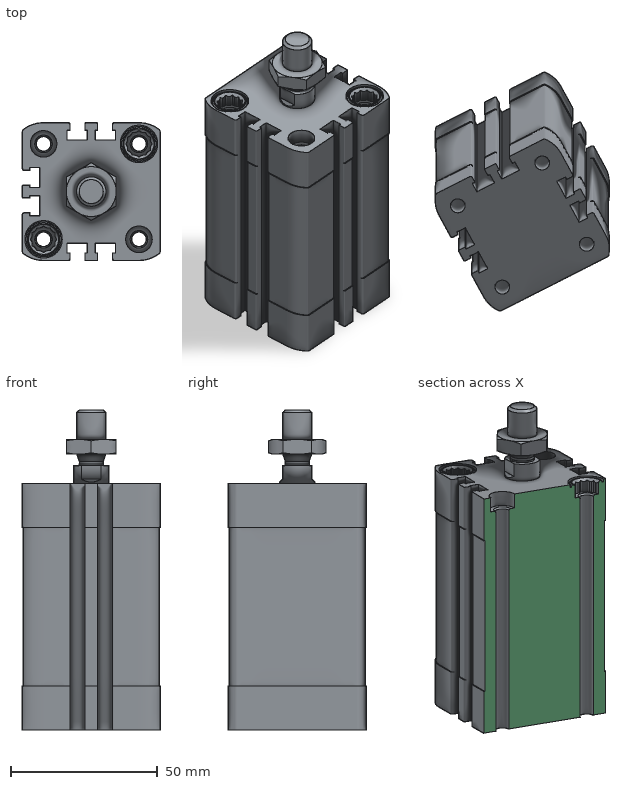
import cadquery as cq
import math


TOTAL_HEIGHT = 109.0
HOUSING_HEIGHT = 84.0
HOUSING_WIDTH = 47.0
HALF_WIDTH = HOUSING_WIDTH / 2
CAP_HEIGHT = 15.0
BARREL_INSET = 0.3

CORNER_ARC_START = 16.2
CORNER_DROP = 2.6
CORNER_RUN = HALF_WIDTH - CORNER_ARC_START
CORNER_RADIUS = (CORNER_RUN**2 + CORNER_DROP**2) / (2 * CORNER_DROP)
CORNER_EDGE_FILLET = 1.1

SLOT_DEPTH = 5.9
LIP_DEPTH = 2.6
MOUTH_INNER = 2.2
MOUTH_OUTER = 7.2
UNDERCUT_INNER = 1.4
UNDERCUT_OUTER = 8.2
MOUTH_FILLET = 0.7
RIB_FILLET = 0.3
ARC_MIDDLE_SHIFT = 1 - math.sqrt(0.5)
SLOT_SIDE_ANGLES = (0, 90, 180)

HOLE_OFFSET = 16.2
HOLE_DIAMETER = 4.9
HOLE_MOUTH_DIAMETER = 6.0
COUNTERBORE_DIAMETER = 9.0
COUNTERBORE_DEPTH = 5.0

SOCKET_GROOVE_DIAMETER = 12.8
SOCKET_GROOVE_DEPTH = 1.0
SOCKET_HEAD_DIAMETER = 11.9
SOCKET_HEAD_CHAMFER = 0.4
SOCKET_RIM_DEPTH = 0.2
SOCKET_CONE_DIAMETER = 10.2
SPLINE_ROOT_DIAMETER = 8.9
SPLINE_TIP_DIAMETER = 8.2
SPLINE_COUNT = 12
SPLINE_HALF_ANGLE = 10.0

ROD_DIAMETER = 12.0
ROD_SHOULDER_HEIGHT = 6.0
FLAT_DISTANCE = 10.0
FLAT_RUNOUT_BASE = 0.4
THREAD_DIAMETER = 10.0
THREAD_CHAMFER = 0.93
NECK_DIAMETER = 8.2
NECK_HEIGHT = 1.4
COLLAR_DIAMETER = 8.5
COLLAR_HEIGHT = 0.5
RUNOUT_HEIGHT = 2.7

NUT_ACROSS_FLATS = 17.0
NUT_HEIGHT = 5.0
NUT_TOP_GAP = 10.0
NUT_CHAMFER_ANGLE = 20.0


def outline(half_width, corner_radius):
    """Housing outline: four flat sides joined by large corner arcs."""
    arc_centre = HALF_WIDTH - CORNER_RADIUS
    arc_middle = math.asin((half_width - CORNER_ARC_START) / corner_radius) / 2
    side_end = arc_centre + math.sqrt(corner_radius**2 - (half_width - CORNER_ARC_START) ** 2)
    mid_x = CORNER_ARC_START + corner_radius * math.sin(arc_middle)
    mid_y = arc_centre + corner_radius * math.cos(arc_middle)
    start = CORNER_ARC_START
    return (
        cq.Workplane("XY")
        .moveTo(-start, half_width)
        .lineTo(start, half_width)
        .threePointArc((mid_x, mid_y), (half_width, side_end))
        .lineTo(half_width, -side_end)
        .threePointArc((mid_x, -mid_y), (start, -half_width))
        .lineTo(-start, -half_width)
        .threePointArc((-mid_x, -mid_y), (-half_width, -side_end))
        .lineTo(-half_width, side_end)
        .threePointArc((-mid_x, mid_y), (-start, half_width))
        .close()
    )


def slot(half_width, height):
    """One undercut slot in the +Y face, with rounded mouth edges."""
    floor = HALF_WIDTH - SLOT_DEPTH
    lip = HALF_WIDTH - LIP_DEPTH
    mouth_shift = MOUTH_FILLET * ARC_MIDDLE_SHIFT
    rib_shift = RIB_FILLET * ARC_MIDDLE_SHIFT
    return (
        cq.Workplane("XY")
        .moveTo(MOUTH_INNER - RIB_FILLET, half_width)
        .threePointArc(
            (MOUTH_INNER - rib_shift, half_width - rib_shift),
            (MOUTH_INNER, half_width - RIB_FILLET),
        )
        .lineTo(MOUTH_INNER, lip)
        .lineTo(UNDERCUT_INNER, lip)
        .lineTo(UNDERCUT_INNER, floor)
        .lineTo(UNDERCUT_OUTER, floor)
        .lineTo(UNDERCUT_OUTER, lip)
        .lineTo(MOUTH_OUTER, lip)
        .lineTo(MOUTH_OUTER, half_width - MOUTH_FILLET)
        .threePointArc(
            (MOUTH_OUTER + mouth_shift, half_width - mouth_shift),
            (MOUTH_OUTER + MOUTH_FILLET, half_width),
        )
        .close()
        .extrude(height)
    )


def housing_section(inset, base, height):
    """Length of housing profile whose outer faces lie `inset` inside the end caps."""
    half_width = HALF_WIDTH - inset
    section = outline(half_width, CORNER_RADIUS - inset).extrude(height)
    section = section.edges("|Z and (<X or >X)").fillet(CORNER_EDGE_FILLET)
    right_slot = slot(half_width, height)
    slot_pair = right_slot.union(right_slot.mirror("YZ"))
    for angle in SLOT_SIDE_ANGLES:
        section = section.cut(slot_pair.rotate((0, 0, 0), (0, 0, 1), angle))
    return section.translate((0, 0, base))


def screw_hole():
    """Through hole with a chamfered mouth at the counterbore floor."""
    floor = HOUSING_HEIGHT - COUNTERBORE_DEPTH
    radius = HOLE_DIAMETER / 2
    mouth_radius = HOLE_MOUTH_DIAMETER / 2
    return (
        cq.Workplane("XZ")
        .moveTo(0, 0)
        .lineTo(radius, 0)
        .lineTo(radius, floor - (mouth_radius - radius))
        .lineTo(mouth_radius, floor)
        .lineTo(0, floor)
        .close()
        .revolve(360, (0, 0, 0), (0, 1, 0))
    )


def counterbore():
    """Plain counterbore of the two unsplined corners."""
    floor = HOUSING_HEIGHT - COUNTERBORE_DEPTH
    profile = cq.Workplane("XY").workplane(offset=floor).circle(COUNTERBORE_DIAMETER / 2)
    return profile.extrude(COUNTERBORE_DEPTH)


def splined_socket():
    """Ring groove around a chamfered head that has a lead-in cone and a toothed socket."""
    floor = HOUSING_HEIGHT - COUNTERBORE_DEPTH
    groove_floor = HOUSING_HEIGHT - SOCKET_GROOVE_DEPTH
    rim = HOUSING_HEIGHT - SOCKET_RIM_DEPTH
    groove_radius = SOCKET_GROOVE_DIAMETER / 2
    head_radius = SOCKET_HEAD_DIAMETER / 2
    cone_radius = SOCKET_CONE_DIAMETER / 2
    tip_radius = SPLINE_TIP_DIAMETER / 2
    root_radius = SPLINE_ROOT_DIAMETER / 2
    cone_base = rim - (cone_radius - tip_radius)
    socket = (
        cq.Workplane("XZ")
        .moveTo(0, floor)
        .lineTo(tip_radius, floor)
        .lineTo(tip_radius, cone_base)
        .lineTo(cone_radius, rim)
        .lineTo(head_radius - SOCKET_HEAD_CHAMFER, rim)
        .lineTo(head_radius, rim - SOCKET_HEAD_CHAMFER)
        .lineTo(head_radius, groove_floor)
        .lineTo(groove_radius, groove_floor)
        .lineTo(groove_radius, HOUSING_HEIGHT)
        .lineTo(0, HOUSING_HEIGHT)
        .close()
        .revolve(360, (0, 0, 0), (0, 1, 0))
    )
    half_angle = math.radians(SPLINE_HALF_ANGLE)
    base_x = tip_radius * math.cos(half_angle)
    base_y = tip_radius * math.sin(half_angle)
    groove = (
        cq.Workplane("XY")
        .workplane(offset=floor)
        .polyline([(0, 0), (base_x, -base_y), (root_radius, 0), (base_x, base_y)])
        .close()
        .extrude(rim - floor)
    )
    for index in range(SPLINE_COUNT):
        socket = socket.union(groove.rotate((0, 0, 0), (0, 0, 1), index * 360 / SPLINE_COUNT))
    return socket


def make_housing():
    barrel_height = HOUSING_HEIGHT - 2 * CAP_HEIGHT
    body = housing_section(0, 0, CAP_HEIGHT)
    body = body.union(housing_section(BARREL_INSET, CAP_HEIGHT, barrel_height))
    body = body.union(housing_section(0, HOUSING_HEIGHT - CAP_HEIGHT, CAP_HEIGHT))
    for x_side in (-1, 1):
        for y_side in (-1, 1):
            place = (x_side * HOLE_OFFSET, y_side * HOLE_OFFSET, 0)
            top_recess = splined_socket() if x_side == y_side else counterbore()
            body = body.cut(screw_hole().translate(place))
            body = body.cut(top_recess.translate(place))
    return body


def make_rod():
    """Piston rod standing on the housing: shoulder, collar, neck and threaded end."""
    rod_radius = ROD_DIAMETER / 2
    thread_radius = THREAD_DIAMETER / 2
    neck_radius = NECK_DIAMETER / 2
    collar_radius = COLLAR_DIAMETER / 2
    shoulder_top = HOUSING_HEIGHT + ROD_SHOULDER_HEIGHT
    neck_top = shoulder_top + NECK_HEIGHT
    body = (
        cq.Workplane("XZ")
        .moveTo(0, HOUSING_HEIGHT)
        .lineTo(rod_radius, HOUSING_HEIGHT)
        .lineTo(rod_radius, shoulder_top)
        .lineTo(collar_radius, shoulder_top)
        .lineTo(collar_radius, shoulder_top + COLLAR_HEIGHT)
        .lineTo(neck_radius, shoulder_top + COLLAR_HEIGHT)
        .lineTo(neck_radius, neck_top)
        .lineTo(thread_radius, neck_top + RUNOUT_HEIGHT)
        .lineTo(thread_radius, TOTAL_HEIGHT - THREAD_CHAMFER)
        .lineTo(thread_radius - THREAD_CHAMFER, TOTAL_HEIGHT)
        .lineTo(0, TOTAL_HEIGHT)
        .close()
        .revolve(360, (0, 0, 0), (0, 1, 0))
    )
    flat_cut = wrench_flat_cut()
    return body.cut(flat_cut).cut(flat_cut.mirror("XZ"))


def wrench_flat_cut():
    """Material removed on the +Y side for a wrench flat with a 45 degree run-out."""
    flat = FLAT_DISTANCE / 2
    rod_radius = ROD_DIAMETER / 2
    base = HOUSING_HEIGHT + FLAT_RUNOUT_BASE
    top = HOUSING_HEIGHT + ROD_SHOULDER_HEIGHT
    return (
        cq.Workplane("YZ")
        .polyline([(flat, top), (flat, base + rod_radius - flat), (rod_radius, base), (rod_radius, top)])
        .close()
        .extrude(rod_radius, both=True)
    )


def make_nut(rod):
    """Hexagon lock nut with corners along Y, chamfered at both ends and threaded onto the rod."""
    across_corners = NUT_ACROSS_FLATS / math.cos(math.pi / 6)
    flat_radius = NUT_ACROSS_FLATS / 2
    corner_radius = across_corners / 2
    bottom = TOTAL_HEIGHT - NUT_TOP_GAP - NUT_HEIGHT
    top = bottom + NUT_HEIGHT
    chamfer = (corner_radius - flat_radius) * math.tan(math.radians(NUT_CHAMFER_ANGLE))
    hexagon = (
        cq.Workplane("XY")
        .workplane(offset=bottom)
        .polygon(6, across_corners)
        .extrude(NUT_HEIGHT)
        .rotate((0, 0, 0), (0, 0, 1), 30)
    )
    envelope = (
        cq.Workplane("XZ")
        .moveTo(0, bottom)
        .lineTo(flat_radius, bottom)
        .lineTo(corner_radius, bottom + chamfer)
        .lineTo(corner_radius, top - chamfer)
        .lineTo(flat_radius, top)
        .lineTo(0, top)
        .close()
        .revolve(360, (0, 0, 0), (0, 1, 0))
    )
    return hexagon.intersect(envelope).cut(rod)


housing = make_housing()
rod = make_rod()
nut = make_nut(rod)
result = cq.Compound.makeCompound([housing.val(), rod.val(), nut.val()])